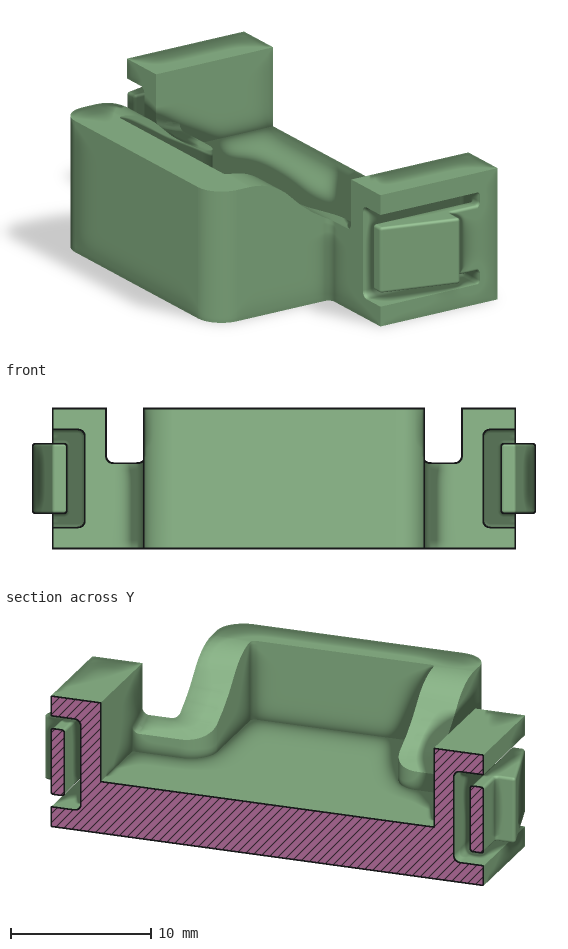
import cadquery as cq
import math

depth = 20.0
height = 10.0
body_width = 33.0
stem_width = 20.02
crossbar_depth = depth / 2
crossbar_front = depth - crossbar_depth
stem_corner_radius = 2.0
neck_radius = 0.5

floor_height = 4.0
leg_thickness = 3.8
stem_wall = 3.0
crossbar_wall = 2.0
cavity_corner_radius = 2.0
cavity_front_radius = 0.35
cavity_half_width = body_width / 2 - leg_thickness
cavity_back_start = crossbar_front + crossbar_wall

crest_y = 3.12
crest_radius = 4.8
dip_radius = 11.48
dip_slope = math.radians(46)
dip_edge_radius = 0.5

pocket_wall = 1.5
pocket_corner_radius = 0.5
arm_height = 5.0
arm_thickness = 1.0
barb_reach = 17.95
barb_back_y = depth - 4.1
pocket_end_radius = 0.25
arm_edge_radius = 0.2
outer_x = body_width / 2
root_y = depth - pocket_wall

overrun = 1.8
margin = 0.35


def make_body():
    """Solid T-shaped block with rounded front corners and neck."""
    stem = (
        cq.Workplane("XY")
        .rect(stem_width, depth)
        .extrude(height)
        .translate((0, depth / 2, 0))
    )
    crossbar = (
        cq.Workplane("XY")
        .rect(body_width, crossbar_depth)
        .extrude(height)
        .translate((0, depth - crossbar_depth / 2, 0))
    )
    tee = stem.union(crossbar)
    tee = tee.edges("|Z and <Y").fillet(stem_corner_radius)
    neck = cq.selectors.BoxSelector(
        (-stem_width / 2 - margin, crossbar_front - margin, -margin),
        (stem_width / 2 + margin, crossbar_front + margin, height + margin),
    )
    return tee.edges("|Z").edges(neck).fillet(neck_radius)


def make_cavity():
    """T-shaped space above the floor, open at the back and top."""
    stem_half = stem_width / 2 - stem_wall
    outline = [
        (-stem_half, stem_wall),
        (stem_half, stem_wall),
        (stem_half, cavity_back_start),
        (cavity_half_width, cavity_back_start),
        (cavity_half_width, depth + overrun),
        (-cavity_half_width, depth + overrun),
        (-cavity_half_width, cavity_back_start),
        (-stem_half, cavity_back_start),
    ]
    floor = cq.Workplane("XY").workplane(offset=floor_height)
    cavity = floor.polyline(outline).close().extrude(height)
    corners = cq.selectors.BoxSelector(
        (-stem_half - margin, cavity_back_start - margin, 0),
        (stem_half + margin, cavity_back_start + margin, 2 * height),
    )
    cavity = cavity.edges("|Z").edges(corners).fillet(cavity_corner_radius)
    return cavity.edges("|Z and <Y").fillet(cavity_front_radius)


def make_dip():
    """Space above the curved wall top, spanning between the legs."""
    crest_center_z = height - crest_radius
    turn_y = crest_y + crest_radius * math.sin(dip_slope)
    turn_z = crest_center_z + crest_radius * math.cos(dip_slope)
    dip_center_y = turn_y + dip_radius * math.sin(dip_slope)
    dip_center_z = turn_z + dip_radius * math.cos(dip_slope)
    end_angle = math.asin((dip_center_y - cavity_back_start) / dip_radius)

    def on_crest(angle):
        return (crest_y + crest_radius * math.sin(angle), crest_center_z + crest_radius * math.cos(angle))

    def on_dip(angle):
        return (dip_center_y - dip_radius * math.sin(angle), dip_center_z - dip_radius * math.cos(angle))

    dip = (
        cq.Workplane("YZ")
        .workplane(offset=-cavity_half_width)
        .moveTo(crest_y, height + overrun)
        .lineTo(crest_y, height)
        .threePointArc(on_crest(dip_slope / 2), on_crest(dip_slope))
        .threePointArc(on_dip((dip_slope + end_angle) / 2), on_dip(end_angle))
        .lineTo(cavity_back_start, height + overrun)
        .close()
        .extrude(2 * cavity_half_width)
    )
    return dip.faces("<X or >X").edges("%CIRCLE").fillet(dip_edge_radius)


def make_arm():
    """Snap arm of the +X leg with its wedge-shaped barb, its root buried in the leg."""
    buried_end = (root_y + depth) / 2
    inner_x = outer_x - arm_thickness

    barb_length = barb_back_y - crossbar_front
    peak_center_x = barb_reach - arm_edge_radius - outer_x
    peak_center_y = barb_length - arm_edge_radius
    center_distance = math.hypot(peak_center_x, peak_center_y)
    barb_angle = math.atan2(peak_center_x, peak_center_y) + math.asin(arm_edge_radius / center_distance)
    barb_peak_x = outer_x + barb_length * math.tan(barb_angle)

    outline = [
        (inner_x, buried_end),
        (inner_x, crossbar_front),
        (outer_x, crossbar_front),
        (barb_peak_x, barb_back_y),
        (outer_x, barb_back_y),
        (outer_x, buried_end),
    ]
    arm = (
        cq.Workplane("XY")
        .workplane(offset=(height - arm_height) / 2)
        .polyline(outline)
        .close()
        .extrude(arm_height)
    )
    barb_foot = cq.selectors.BoxSelector(
        (outer_x - margin, barb_back_y - margin, -margin),
        (outer_x + margin, barb_back_y + margin, height + margin),
    )
    arm = arm.edges(barb_foot).fillet(arm_edge_radius)
    return arm.edges("not >Y").fillet(arm_edge_radius)


def make_pocket(arm):
    """Space around the arm of the +X leg, open at the front and at the outer side."""
    pocket_x = cavity_half_width + pocket_wall
    pocket_y = crossbar_front - overrun
    pocket = cq.Workplane("XY").box(
        outer_x + overrun - pocket_x,
        root_y - pocket_y,
        height - 2 * pocket_wall,
        centered=False,
    )
    pocket = pocket.translate((pocket_x, pocket_y, pocket_wall))
    pocket = pocket.edges("|Y and <X").fillet(pocket_corner_radius).cut(arm)
    return pocket.faces(">Y").edges("not >X").fillet(pocket_end_radius)


snap_arm = make_arm()
arm_pocket = make_pocket(snap_arm)

body = make_body().cut(make_cavity()).cut(make_dip())
body = body.cut(arm_pocket).union(snap_arm)
result = body.cut(arm_pocket.mirror("YZ")).union(snap_arm.mirror("YZ"))